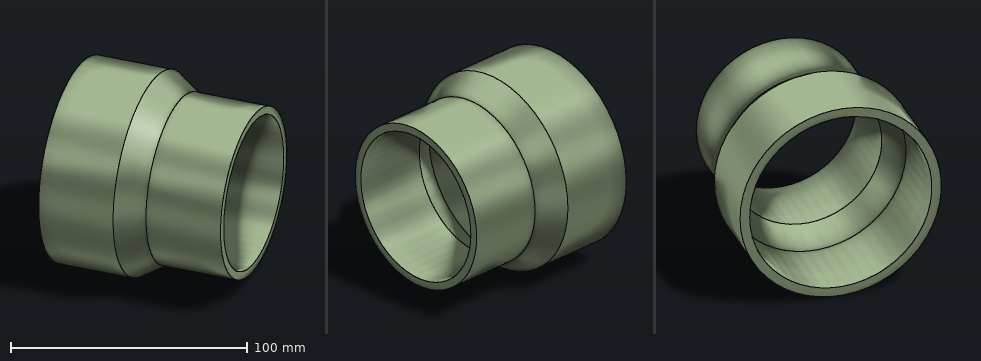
import cadquery as cq

large_outer_diameter = 90
large_inner_diameter = 81.4
small_outer_diameter = 75.0
small_inner_diameter = 67.8

total_length = 80.0
end_length = 34.0

x_start = -total_length / 2
x_end = total_length / 2
x_taper_start = x_start + end_length
x_taper_end = x_end - end_length


def stepped_cone(large_diameter, small_diameter):
    """Solid of revolution about X: large cylinder, taper, small cylinder."""
    half_profile = (
        cq.Workplane("XY")
        .moveTo(x_start, 0)
        .lineTo(x_start, large_diameter / 2)
        .lineTo(x_taper_start, large_diameter / 2)
        .lineTo(x_taper_end, small_diameter / 2)
        .lineTo(x_end, small_diameter / 2)
        .lineTo(x_end, 0)
        .close()
    )
    return half_profile.revolve(360, (0, 0, 0), (1, 0, 0))


body = stepped_cone(large_outer_diameter, small_outer_diameter)
bore = stepped_cone(large_inner_diameter, small_inner_diameter)

result = body.cut(bore)